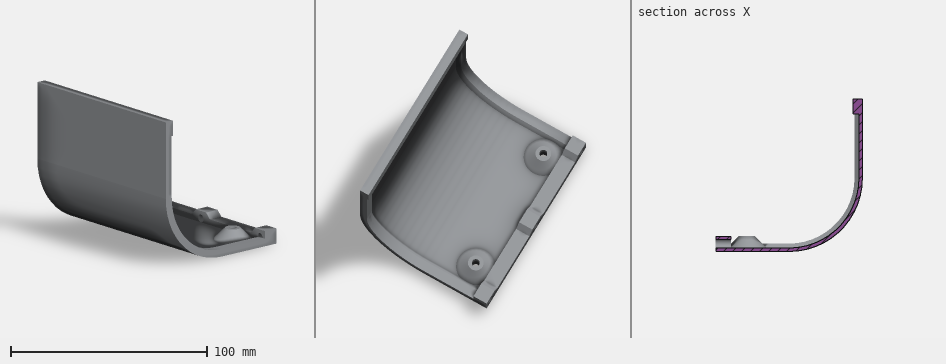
import cadquery as cq
import math

length = 100.0
back_clearance = 0.2
nominal_depth = 75.0
depth = nominal_depth - back_clearance
height = 78.0

shell_thickness = 4.0
bend_radius = 37.5
inner_bend_radius = bend_radius - shell_thickness

outer_mid = bend_radius * (1 - math.cos(math.pi / 4))
inner_mid = bend_radius - inner_bend_radius * math.cos(math.pi / 4)

lip_thickness = 5.0
lip_height = 8.0
nominal_rim_depth = 8.0
rim_depth = nominal_rim_depth - back_clearance
rim_height = 8.0
lip_bottom = height - lip_height
rim_front = depth - rim_depth

border_width = 5.0
recess_depth = 2.0
recess_half_width = length / 2 - border_width
floor_thickness = shell_thickness - recess_depth

end_block_width = 8.0
middle_block_width = 8.0
notch_depth = 3.0
notch_inner_edge = middle_block_width / 2
notch_outer_edge = length / 2 - end_block_width

rim_hole_diameter = 4.1
rim_hole_height = rim_height / 2
end_hole_offset = length / 2 - end_block_width / 2

boss_offset = 34.0
boss_y = 59.0
boss_top_radius = 4.0
boss_height = rim_height - floor_thickness
boss_base_radius = boss_top_radius + boss_height
boss_hole_diameter = 4.0


def make_shell():
    """L-shaped section with a round bend, a lip and a rim, extruded along X."""
    return (
        cq.Workplane("YZ", origin=(-length / 2, 0, 0))
        .moveTo(0, height)
        .lineTo(0, bend_radius)
        .threePointArc((outer_mid, outer_mid), (bend_radius, 0))
        .lineTo(depth, 0)
        .lineTo(depth, rim_height)
        .lineTo(rim_front, rim_height)
        .lineTo(rim_front, shell_thickness)
        .lineTo(bend_radius, shell_thickness)
        .threePointArc((inner_mid, inner_mid), (shell_thickness, bend_radius))
        .lineTo(shell_thickness, lip_bottom)
        .lineTo(lip_thickness, lip_bottom)
        .lineTo(lip_thickness, height)
        .close()
        .extrude(length)
    )


def make_recess():
    """Trapezoid section swept from the rim, around the bend and up to the lip."""
    path = (
        cq.Workplane("YZ")
        .moveTo(rim_front, shell_thickness)
        .lineTo(bend_radius, shell_thickness)
        .threePointArc((inner_mid, inner_mid), (shell_thickness, bend_radius))
        .lineTo(shell_thickness, lip_bottom)
    )
    bottom_half_width = recess_half_width - recess_depth
    section = cq.Workplane("XZ", origin=(0, rim_front, 0)).polyline([
        (-recess_half_width, shell_thickness),
        (recess_half_width, shell_thickness),
        (bottom_half_width, floor_thickness),
        (-bottom_half_width, floor_thickness),
    ])
    return section.close().sweep(path)


def make_rim_notch(side):
    """Notch between the middle block and the end block on one side (-1 or 1)."""
    return (
        cq.Workplane("XZ", origin=(0, depth, 0))
        .polyline([
            (side * notch_inner_edge, rim_height),
            (side * notch_outer_edge, rim_height),
            (side * (notch_outer_edge - notch_depth), rim_height - notch_depth),
            (side * (notch_inner_edge + notch_depth), rim_height - notch_depth),
        ])
        .close()
        .extrude(rim_depth)
    )


def make_rim_holes():
    """Cylinders through the three rim blocks."""
    return (
        cq.Workplane("XZ", origin=(0, depth, rim_hole_height))
        .pushPoints([(x, 0) for x in (-end_hole_offset, 0, end_hole_offset)])
        .circle(rim_hole_diameter / 2)
        .extrude(rim_depth)
    )


def make_boss(x):
    """Cone standing on the recessed floor, cut off at the front face of the rim."""
    cone = cq.Solid.makeCone(
        boss_base_radius, boss_top_radius, boss_height, cq.Vector(x, boss_y, floor_thickness)
    )
    keep_zone = cq.Workplane("XY").box(length, rim_front, height, centered=(True, False, False))
    return keep_zone.intersect(cq.Workplane(cone))


def make_boss_hole(x):
    """Screw hole through a boss and the floor."""
    return cq.Workplane("XY", origin=(x, boss_y, 0)).circle(boss_hole_diameter / 2).extrude(rim_height)


result = make_shell().cut(make_recess()).cut(make_rim_holes())
for side in (-1, 1):
    result = result.cut(make_rim_notch(side))
    result = result.union(make_boss(side * boss_offset))
    result = result.cut(make_boss_hole(side * boss_offset))